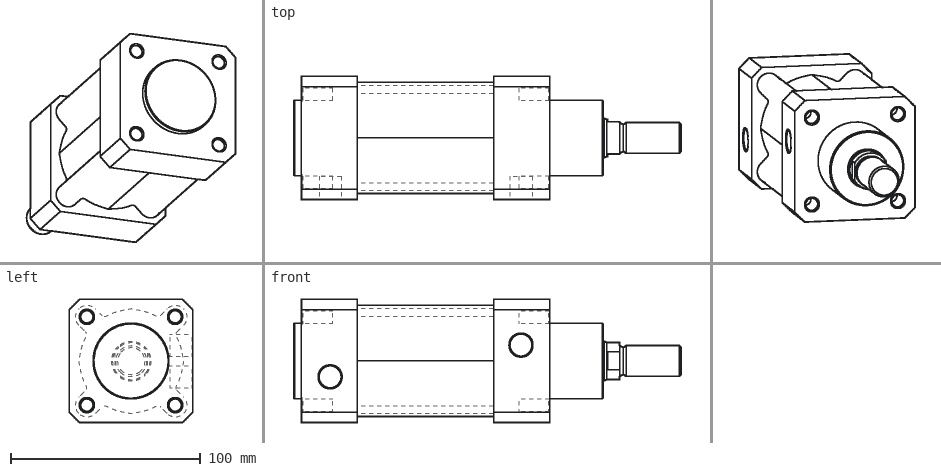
import cadquery as cq
import math


TOTAL_LENGTH = 204.0
COLLAR_LENGTH = 3.9
CAP_LENGTH = 29.5
BARREL_LENGTH = 71.8
BOSS_LENGTH = 28.2
LIP_LENGTH = 0.6
LIP_TAPER_LENGTH = 1.2
REAR_CAP_START = COLLAR_LENGTH
BARREL_START = REAR_CAP_START + CAP_LENGTH
FRONT_CAP_START = BARREL_START + BARREL_LENGTH
BOSS_START = FRONT_CAP_START + CAP_LENGTH
LIP_START = BOSS_START + BOSS_LENGTH
LIP_TAPER_START = LIP_START + LIP_LENGTH
ROD_START = LIP_TAPER_START + LIP_TAPER_LENGTH

CAP_WIDTH = 65.0
CAP_CORNER_CHAMFER = 5.5
COLLAR_DIAMETER = 40.0
COLLAR_CHAMFER = 0.5
BOSS_CHAMFER = 0.6
LIP_RADIUS = 10.5

BOLT_OFFSET = 23.3
BOLT_HOLE_DIAMETER = 6.5
BOLT_MOUTH_DIAMETER = 8.0
BOLT_HOLE_DEPTH = 16.3

PORT_DIAMETER = 11.6
PORT_MOUTH_DIAMETER = 12.6
PORT_DEPTH = 12.2
PORT_RISE = 8.4
PORT_SHIFT = 0.5

TUBE_RADIUS = 27.1
LOBE_RADIUS = 6.1
LOBE_FILLET = 2.0
RIDGE_HALF_WIDTH = 5.3

ROD_RADIUS = 9.8
FLAT_SETBACK = 0.5
FLAT_START = ROD_START + FLAT_SETBACK
SHOULDER_END = 171.5
FLAT_OFFSET = 8.5
THREAD_START = 175.0
THREAD_RADIUS = 8.2
GROOVE_BOTTOM = 173.6
GROOVE_RADIUS = 7.1
THREAD_CHAMFER = 1.0


def x_cylinder(start, length, radius):
    return cq.Workplane("YZ", origin=(start, 0, 0)).circle(radius).extrude(length)


def countersunk_hole(mouth, direction, diameter, mouth_diameter, depth):
    """Blind hole with a 45 degree bevel at its mouth."""
    bevel = (mouth_diameter - diameter) / 2
    drill = cq.Solid.makeCylinder(diameter / 2, depth, mouth, direction)
    cone = cq.Solid.makeCone(mouth_diameter / 2, diameter / 2, bevel, mouth, direction)
    return cq.Workplane(drill).union(cq.Workplane(cone))


def cap(start, outer_face, inward, port_x, port_z):
    """Square block with bevelled long edges, four mounting holes and one air port."""
    block = (
        cq.Workplane("YZ", origin=(start, 0, 0))
        .rect(CAP_WIDTH, CAP_WIDTH)
        .extrude(CAP_LENGTH)
        .edges("|X")
        .chamfer(CAP_CORNER_CHAMFER)
    )
    for y in (-BOLT_OFFSET, BOLT_OFFSET):
        for z in (-BOLT_OFFSET, BOLT_OFFSET):
            block = block.cut(
                countersunk_hole(
                    cq.Vector(outer_face, y, z),
                    cq.Vector(inward, 0, 0),
                    BOLT_HOLE_DIAMETER,
                    BOLT_MOUTH_DIAMETER,
                    BOLT_HOLE_DEPTH,
                )
            )
    port = countersunk_hole(
        cq.Vector(port_x, -CAP_WIDTH / 2, port_z),
        cq.Vector(0, 1, 0),
        PORT_DIAMETER,
        PORT_MOUTH_DIAMETER,
        PORT_DEPTH,
    )
    return block.cut(port)


def make_rear_cap():
    """Cap with a low centring collar on its rear face."""
    collar = x_cylinder(0, COLLAR_LENGTH, COLLAR_DIAMETER / 2).faces("<X").chamfer(COLLAR_CHAMFER)
    port_x = REAR_CAP_START + CAP_LENGTH / 2 + PORT_SHIFT
    return cap(REAR_CAP_START, REAR_CAP_START, 1, port_x, -PORT_RISE).union(collar)


def make_front_cap():
    """Cap with a boss around the rod and a lip that tapers down to the rod."""
    boss = x_cylinder(BOSS_START, BOSS_LENGTH, COLLAR_DIAMETER / 2).faces(">X").chamfer(BOSS_CHAMFER)
    lip = x_cylinder(LIP_START, LIP_LENGTH, LIP_RADIUS)
    taper = cq.Workplane(
        cq.Solid.makeCone(
            LIP_RADIUS,
            ROD_RADIUS,
            LIP_TAPER_LENGTH,
            cq.Vector(LIP_TAPER_START, 0, 0),
            cq.Vector(1, 0, 0),
        )
    )
    port_x = FRONT_CAP_START + CAP_LENGTH / 2 - PORT_SHIFT
    return cap(FRONT_CAP_START, BOSS_START, -1, port_x, PORT_RISE).union(boss).union(lip).union(taper)


def make_barrel():
    """Tube with a shallow ridge on each side and a round-ended, filleted lobe on each diagonal."""
    base = cq.Workplane("YZ", origin=(BARREL_START, 0, 0))
    barrel = base.circle(TUBE_RADIUS).extrude(BARREL_LENGTH)

    ridge_angle = math.asin(RIDGE_HALF_WIDTH / TUBE_RADIUS)
    crest = TUBE_RADIUS / math.cos(ridge_angle)
    ridge_foot = TUBE_RADIUS * math.cos(ridge_angle)
    ridge = (
        base.moveTo(0, 0)
        .lineTo(ridge_foot, -RIDGE_HALF_WIDTH)
        .lineTo(crest, 0)
        .lineTo(ridge_foot, RIDGE_HALF_WIDTH)
        .close()
        .extrude(BARREL_LENGTH)
    )

    lobe_reach = BOLT_OFFSET * math.sqrt(2)
    fillet_height = LOBE_RADIUS + LOBE_FILLET
    fillet_angle = math.asin(fillet_height / (TUBE_RADIUS + LOBE_FILLET))
    flank_start = (TUBE_RADIUS + LOBE_FILLET) * math.cos(fillet_angle)
    foot = (TUBE_RADIUS * math.cos(fillet_angle), TUBE_RADIUS * math.sin(fillet_angle))
    middle_angle = (math.pi / 2 + fillet_angle) / 2
    middle = (
        flank_start - LOBE_FILLET * math.cos(middle_angle),
        fillet_height - LOBE_FILLET * math.sin(middle_angle),
    )
    lobe = (
        base.moveTo(0, 0)
        .lineTo(foot[0], -foot[1])
        .threePointArc((middle[0], -middle[1]), (flank_start, -LOBE_RADIUS))
        .lineTo(lobe_reach, -LOBE_RADIUS)
        .threePointArc((lobe_reach + LOBE_RADIUS, 0), (lobe_reach, LOBE_RADIUS))
        .lineTo(flank_start, LOBE_RADIUS)
        .threePointArc(middle, foot)
        .close()
        .extrude(BARREL_LENGTH)
    )

    for side in range(4):
        barrel = barrel.union(ridge.rotate((0, 0, 0), (1, 0, 0), 90 * side))
        barrel = barrel.union(lobe.rotate((0, 0, 0), (1, 0, 0), 90 * side + 45))
    return barrel


def make_rod():
    """Turned rod with a V groove behind its threaded end, and two wrench flats on its shoulder."""
    rod = (
        cq.Workplane("XY")
        .moveTo(ROD_START, 0)
        .lineTo(ROD_START, ROD_RADIUS)
        .lineTo(SHOULDER_END, ROD_RADIUS)
        .lineTo(SHOULDER_END, THREAD_RADIUS)
        .lineTo(GROOVE_BOTTOM, GROOVE_RADIUS)
        .lineTo(THREAD_START, THREAD_RADIUS)
        .lineTo(TOTAL_LENGTH - THREAD_CHAMFER, THREAD_RADIUS)
        .lineTo(TOTAL_LENGTH, THREAD_RADIUS - THREAD_CHAMFER)
        .lineTo(TOTAL_LENGTH, 0)
        .close()
        .revolve(360, (0, 0, 0), (1, 0, 0))
    )
    flat_length = SHOULDER_END - FLAT_START
    flat_depth = ROD_RADIUS - FLAT_OFFSET
    for side in (-1, 1):
        cutter = cq.Workplane("XY").box(flat_length, flat_depth, 2 * ROD_RADIUS).translate(
            (FLAT_START + flat_length / 2, side * (FLAT_OFFSET + flat_depth / 2), 0)
        )
        rod = rod.cut(cutter)
    return rod


rear_cap = make_rear_cap()
barrel = make_barrel()
front_cap = make_front_cap()
rod = make_rod()

result = cq.Compound.makeCompound([rear_cap.val(), barrel.val(), front_cap.val(), rod.val()])